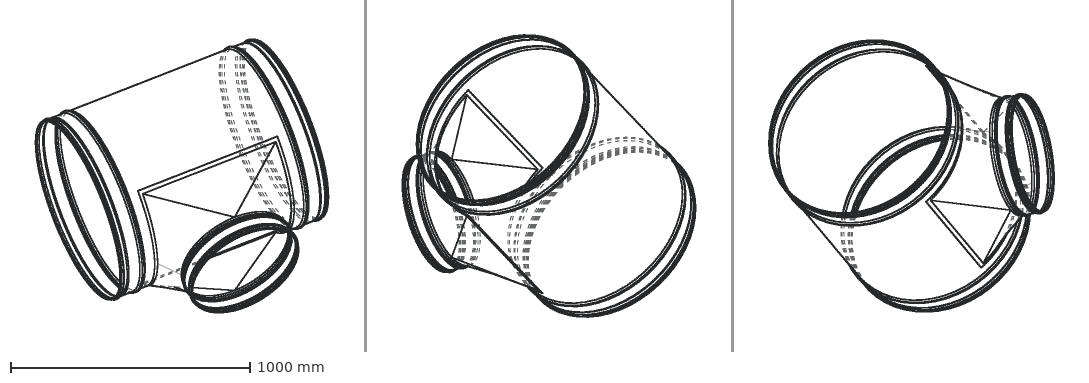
import cadquery as cq
import math


SHEET = 0.6
END_LIP_WIDTH = 7.0
GROOVE_DEPTH = 2.5

DUCT_RADIUS = 800.0 / 2
DUCT_LENGTH = 970.0
DUCT_GROOVE_END = 33.0
DUCT_SHOULDER_END = 40.0
DUCT_BEAD_CENTRE = 103.0
DUCT_BEAD_RADIUS = 814.0 / 2
DUCT_BEAD_BASE = 24.0
DUCT_BEAD_CREST = 8.0

BRANCH_RADIUS = 498.0 / 2
OVERALL_WIDTH = 1003
BRANCH_END_X = OVERALL_WIDTH - DUCT_BEAD_RADIUS
COLLAR_LENGTH = 88.0
BRANCH_GROOVE_END = 25.0
BRANCH_SHOULDER_END = 29.0
BRANCH_BEAD_CENTRE = 72.0
BRANCH_BEAD_RADIUS = 509.0 / 2
BRANCH_BEAD_BASE = 11.0
BRANCH_BEAD_CREST = 5.0

GASKET_END = 16.0
GASKET_TIP_WIDTH = 3.0
GASKET_LIP_HEIGHT = 5.0

NECK_LENGTH = 11.0
THROAT_HALF_Y = 312.0
THROAT_HALF_Z = 308.0
FLANGE_HALF_Y = 325.0
FLANGE_HALF_Z = 319.0

DUCT_INNER_RADIUS = DUCT_RADIUS - SHEET
COLLAR_START_X = BRANCH_END_X - COLLAR_LENGTH
NECK_START_X = COLLAR_START_X - NECK_LENGTH


def end_outline(radius, groove_end, shoulder_end, bead_centre, bead_radius, bead_base, bead_crest):
    """Outer (distance from end, radius) points from the gasket groove to past the bead."""
    groove_radius = radius - GROOVE_DEPTH
    return [
        (0, groove_radius),
        (groove_end, groove_radius),
        (shoulder_end, radius),
        (bead_centre - bead_base / 2, radius),
        (bead_centre - bead_crest / 2, bead_radius),
        (bead_centre + bead_crest / 2, bead_radius),
        (bead_centre + bead_base / 2, radius),
    ]


def revolved_x(points):
    """Revolve a closed outline of (x, radius) points about the X axis."""
    return cq.Workplane("XY").polyline(points).close().revolve(360, (0, 0, 0), (1, 0, 0))


def sheet_tube(outline):
    """Tube about X whose wall is one sheet thick below the outer outline."""
    inner = [(x, radius - SHEET) for x, radius in reversed(outline)]
    return revolved_x(outline + inner)


def end_lip(radius):
    """Turned-up rim at x = 0 that closes the gasket groove."""
    root = radius - GROOVE_DEPTH - SHEET
    return revolved_x([(0, root), (0, radius), (END_LIP_WIDTH, radius), (END_LIP_WIDTH, root)])


def gasket_ring(radius):
    """Sealing ring in the groove of an open end at x = 0, its lip leaning to +X."""
    floor = radius - GROOVE_DEPTH
    tip = radius + GASKET_LIP_HEIGHT
    return revolved_x([
        (END_LIP_WIDTH, floor),
        (END_LIP_WIDTH, radius),
        (GASKET_END - GASKET_TIP_WIDTH, tip),
        (GASKET_END, tip),
        (GASKET_END, floor),
    ])


def place_on_duct(body, side):
    """Move a body from an open end at x = 0 to the duct end on the given Y side."""
    return body.rotate((0, 0, 0), (0, 0, 1), -90 * side).translate((0, side * DUCT_LENGTH / 2, 0))


def place_on_branch(body):
    """Move a body from an open end at x = 0 to the open end of the branch."""
    return body.rotate((0, 0, 0), (0, 0, 1), 180).translate((BRANCH_END_X, 0, 0))


def saddle_window(half_y, half_z):
    """Block on the +X side that marks a rectangular patch of the duct wall."""
    return cq.Workplane("YZ").rect(2 * half_y, 2 * half_z).extrude(2 * DUCT_RADIUS)


def make_duct():
    near_outline = end_outline(DUCT_RADIUS, DUCT_GROOVE_END, DUCT_SHOULDER_END, DUCT_BEAD_CENTRE,
                               DUCT_BEAD_RADIUS, DUCT_BEAD_BASE, DUCT_BEAD_CREST)
    far_outline = [(DUCT_LENGTH - x, radius) for x, radius in reversed(near_outline)]
    duct = place_on_duct(sheet_tube(near_outline + far_outline), -1)
    for side in (-1, 1):
        duct = duct.union(place_on_duct(end_lip(DUCT_RADIUS), side))
    return duct.cut(saddle_window(FLANGE_HALF_Y, FLANGE_HALF_Z))


def square_to_round(base_radius, half_y, half_z, round_radius):
    """Solid from a rectangular patch of a cylinder about Y to a circle at the neck.

    Flat triangles lie above and below; ruled corners fill in between them.
    """
    corner_x = math.sqrt(base_radius ** 2 - half_z ** 2)

    def corner(y_side, z_side):
        return cq.Vector(corner_x, y_side * half_y, z_side * half_z)

    def crown(y_side):
        return cq.Vector(base_radius, y_side * half_y, 0)

    def base_arc(y_side, z_side):
        middle_angle = math.asin(half_z / base_radius) / 2
        middle = cq.Vector(base_radius * math.cos(middle_angle), y_side * half_y,
                           z_side * base_radius * math.sin(middle_angle))
        return cq.Edge.makeThreePointArc(corner(y_side, z_side), middle, crown(y_side))

    def apex(z_side):
        return cq.Vector(NECK_START_X, 0, z_side * round_radius)

    def round_arc(y_side, z_side):
        diagonal = round_radius * math.sqrt(0.5)
        middle = cq.Vector(NECK_START_X, y_side * diagonal, z_side * diagonal)
        end = cq.Vector(NECK_START_X, y_side * round_radius, 0)
        return cq.Edge.makeThreePointArc(apex(z_side), middle, end)

    faces = []
    for z_side in (-1, 1):
        triangle = cq.Wire.makePolygon([corner(-1, z_side), corner(1, z_side), apex(z_side)], close=True)
        faces.append(cq.Face.makeFromWires(triangle))
        faces.append(cq.Face.makeRuledSurface(base_arc(-1, z_side), base_arc(1, z_side)))
        for y_side in (-1, 1):
            faces.append(cq.Face.makeRuledSurface(base_arc(y_side, z_side), round_arc(y_side, z_side)))
    round_edges = [round_arc(y_side, z_side) for y_side in (-1, 1) for z_side in (-1, 1)]
    faces.append(cq.Face.makeFromWires(cq.Wire.assembleEdges(
        [round_edges[0], round_edges[1], round_edges[3], round_edges[2]])))
    return cq.Workplane(cq.Solid.makeSolid(cq.Shell.makeShell(faces)).fix())


def make_transition():
    hood = square_to_round(DUCT_INNER_RADIUS, THROAT_HALF_Y, THROAT_HALF_Z, BRANCH_RADIUS)
    hollow = square_to_round(DUCT_INNER_RADIUS - SHEET, THROAT_HALF_Y - SHEET, THROAT_HALF_Z - SHEET,
                             BRANCH_RADIUS - SHEET)
    wall = cq.Workplane("XZ").circle(DUCT_RADIUS).circle(DUCT_INNER_RADIUS)
    flange = wall.extrude(DUCT_LENGTH / 2, both=True).intersect(saddle_window(FLANGE_HALF_Y, FLANGE_HALF_Z))
    neck = sheet_tube([(NECK_START_X, BRANCH_RADIUS), (COLLAR_START_X, BRANCH_RADIUS)])
    return flange.union(hood).cut(hollow).union(neck)


def make_collar():
    outline = end_outline(BRANCH_RADIUS, BRANCH_GROOVE_END, BRANCH_SHOULDER_END, BRANCH_BEAD_CENTRE,
                          BRANCH_BEAD_RADIUS, BRANCH_BEAD_BASE, BRANCH_BEAD_CREST)
    tube = sheet_tube(outline + [(COLLAR_LENGTH, BRANCH_RADIUS)])
    return place_on_branch(tube.union(end_lip(BRANCH_RADIUS)))


duct = make_duct()
transition = make_transition()
collar = make_collar()
duct_gaskets = [place_on_duct(gasket_ring(DUCT_RADIUS), side) for side in (-1, 1)]
branch_gasket = place_on_branch(gasket_ring(BRANCH_RADIUS))

result = cq.Compound.makeCompound([
    duct.solids().val(),
    transition.solids().val(),
    collar.solids().val(),
    *[gasket.val() for gasket in duct_gaskets],
    branch_gasket.val(),
])